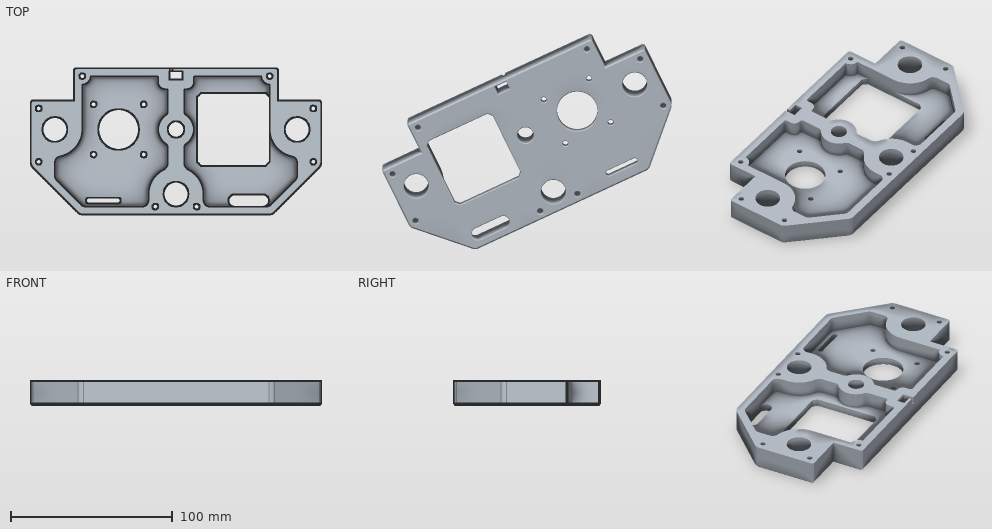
import cadquery as cq
import math

plate_width = 180.0
plate_height = 15.0
rear_y = 38.0
front_y = -52.75
rear_half_width = 63.25
shoulder_y = 18.0
front_half_width = 59.5
half_width = plate_width / 2
slant_y = front_y + half_width - front_half_width
outer_corner_chamfer = 1.0
slant_corner_radius = 5.0
bottom_chamfer = 1.0
opening_chamfer = 0.5

wall = 5.0
floor_thickness = 5.0
rib_half_width = 5.0
pocket_radius = 4.0
axle_boss_blend_radius = 3.0
front_boss_blend_radius = 5.0
latch_boss_blend_radius = 1.2
axle_boss_radius = 11.0
bearing_boss_radius = 17.0
screw_boss_radius = 5.2
latch_boss_half_width = 11.0
latch_boss_front_y = 25.0
latch_boss_radius = 4.0

axle_bore = 10.0
bearing_bore = 15.2
side_bore_x = 75.0
front_bore_y = -40.0
motor_x = -35.5
motor_bore = 25.0
motor_hole_pitch = 31.0
screw_hole = 3.4
rear_screw = (58.0, 33.0)
side_screw_x = 85.0
side_screw_ys = (13.0, -20.0)
front_screw = (12.75, -47.75)

window_x = 35.5
window_size = 45.0
window_corner = 2.5
cable_slot_x = 45.0
cable_slot_y = -44.0
narrow_slot_length = 21.4
narrow_slot_width = 3.4
wide_slot_length = 25.0
wide_slot_width = 7.5

latch_width = 8.0
latch_front_y = 31.0
latch_rear_y = 36.0
groove_width = 1.95
groove_depth = 4.0


def both_sides(points):
    """Return the points together with their mirror images across the YZ plane."""
    return [(side * x, y) for x, y in points for side in (-1, 1)]


def upright_edges(body, corners):
    """Select the vertical edges that stand at the given XY points."""
    selector = None
    reach = 0.05
    for x, y in corners:
        box = cq.selectors.BoxSelector(
            (x - reach, y - reach, -plate_height), (x + reach, y + reach, 2 * plate_height)
        )
        selector = box if selector is None else selector + box
    return body.edges("|Z").edges(selector)


def make_plate():
    outline = [
        (-rear_half_width, rear_y),
        (rear_half_width, rear_y),
        (rear_half_width, shoulder_y),
        (half_width, shoulder_y),
        (half_width, slant_y),
        (front_half_width, front_y),
        (-front_half_width, front_y),
        (-half_width, slant_y),
        (-half_width, shoulder_y),
        (-rear_half_width, shoulder_y),
    ]
    plate = cq.Workplane("XY").polyline(outline).close().extrude(plate_height)
    slant_corners = both_sides([(half_width, slant_y), (front_half_width, front_y)])
    square_corners = both_sides([(rear_half_width, rear_y), (half_width, shoulder_y)])
    plate = upright_edges(plate, slant_corners).fillet(slant_corner_radius)
    plate = upright_edges(plate, square_corners).chamfer(outer_corner_chamfer)
    return plate.faces("<Z").edges().chamfer(bottom_chamfer)


def disc(x, y, radius):
    return cq.Workplane("XY", origin=(x, y, 0)).circle(radius).extrude(plate_height)


def make_latch_boss():
    """Block around the latch opening, with its free front corner rounded."""
    length = rear_y - latch_boss_front_y
    boss = cq.Workplane("XY").box(latch_boss_half_width, length, plate_height, centered=False)
    boss = boss.translate((0, latch_boss_front_y, 0))
    free_corner = [(latch_boss_half_width, latch_boss_front_y)]
    return upright_edges(boss, free_corner).fillet(latch_boss_radius)


def make_pocket():
    """Right-hand pocket: the region inside the walls less the bosses around the bores."""
    outer_x = rear_screw[0]
    top_y = rear_y - wall
    bottom_y = front_y + wall
    slant_sum = half_width - slant_y - wall * math.sqrt(2)
    outline = [
        (rib_half_width, top_y),
        (outer_x, top_y),
        (outer_x, 0),
        (side_bore_x, 0),
        (side_bore_x, side_bore_x - slant_sum),
        (slant_sum + bottom_y, bottom_y),
        (bearing_boss_radius, bottom_y),
        (bearing_boss_radius, front_bore_y),
        (rib_half_width, front_bore_y),
    ]
    pocket = cq.Workplane("XY").polyline(outline).close().extrude(plate_height)
    pocket = pocket.cut(disc(side_bore_x, 0, bearing_boss_radius))
    pocket = pocket.cut(disc(0, front_bore_y, bearing_boss_radius))
    pocket = pocket.cut(disc(0, 0, axle_boss_radius))
    pocket = pocket.cut(disc(*rear_screw, screw_boss_radius))
    pocket = pocket.cut(make_latch_boss())

    front_boss_y = front_bore_y + math.sqrt(bearing_boss_radius**2 - rib_half_width**2)
    axle_boss_y = math.sqrt(axle_boss_radius**2 - rib_half_width**2)
    wide_corners = [
        (side_bore_x, -bearing_boss_radius),
        (side_bore_x, side_bore_x - slant_sum),
        (slant_sum + bottom_y, bottom_y),
        (bearing_boss_radius, bottom_y),
    ]
    front_boss_corners = [(rib_half_width, front_boss_y)]
    axle_boss_corners = [(rib_half_width, axle_boss_y), (rib_half_width, -axle_boss_y)]
    latch_boss_corners = [
        (rib_half_width, latch_boss_front_y),
        (latch_boss_half_width, top_y),
    ]
    pocket = upright_edges(pocket, wide_corners).fillet(pocket_radius)
    pocket = upright_edges(pocket, axle_boss_corners).fillet(axle_boss_blend_radius)
    pocket = upright_edges(pocket, front_boss_corners).fillet(front_boss_blend_radius)
    pocket = upright_edges(pocket, latch_boss_corners).fillet(latch_boss_blend_radius)
    return pocket.translate((0, 0, floor_thickness))


def through_holes(points, diameter):
    return cq.Workplane("XY").pushPoints(points).circle(diameter / 2).extrude(plate_height)


def make_holes():
    half_pitch = motor_hole_pitch / 2
    motor_pattern = both_sides([(half_pitch, half_pitch), (half_pitch, -half_pitch)])
    motor_screws = [(motor_x + x, y) for x, y in motor_pattern]
    side_screws = [(side_screw_x, y) for y in side_screw_ys]
    plate_screws = both_sides([rear_screw, front_screw] + side_screws)
    holes = through_holes(motor_screws + plate_screws, screw_hole)
    holes = holes.union(through_holes([(0, 0)], axle_bore))
    holes = holes.union(through_holes([(motor_x, 0)], motor_bore))
    bearings = both_sides([(side_bore_x, 0)]) + [(0, front_bore_y)]
    return holes.union(through_holes(bearings, bearing_bore))


def make_window():
    window = cq.Workplane("XY", origin=(window_x, 0, 0)).rect(window_size, window_size)
    return window.extrude(floor_thickness).edges("|Z").chamfer(window_corner)


def make_cable_slots():
    narrow = cq.Workplane("XY", origin=(-cable_slot_x, cable_slot_y, 0))
    narrow = narrow.slot2D(narrow_slot_length, narrow_slot_width).extrude(floor_thickness)
    wide = cq.Workplane("XY", origin=(cable_slot_x, cable_slot_y, 0))
    wide = wide.slot2D(wide_slot_length, wide_slot_width).extrude(floor_thickness)
    return narrow.union(wide)


def make_latch_opening():
    length = latch_rear_y - latch_front_y
    middle_y = (latch_rear_y + latch_front_y) / 2
    opening = cq.Workplane("XY", origin=(0, middle_y, 0)).rect(latch_width, length).extrude(plate_height)
    left_x = -latch_width / 2
    groove = cq.Workplane("XY").box(groove_width, rear_y - middle_y, groove_depth, centered=False)
    groove = groove.translate((left_x, middle_y, plate_height - groove_depth))
    return opening.union(groove)


def chamfer_openings(body):
    """Break the underside edge of every through opening."""
    inner_wires = body.faces("<Z").val().innerWires()
    rims = [edge for wire in inner_wires for edge in wire.Edges()]
    return body.newObject(rims).chamfer(opening_chamfer)


pocket = make_pocket()
body = make_plate().cut(pocket).cut(pocket.mirror("YZ"))
for opening in (make_holes(), make_window(), make_cable_slots(), make_latch_opening()):
    body = body.cut(opening)
result = chamfer_openings(body)